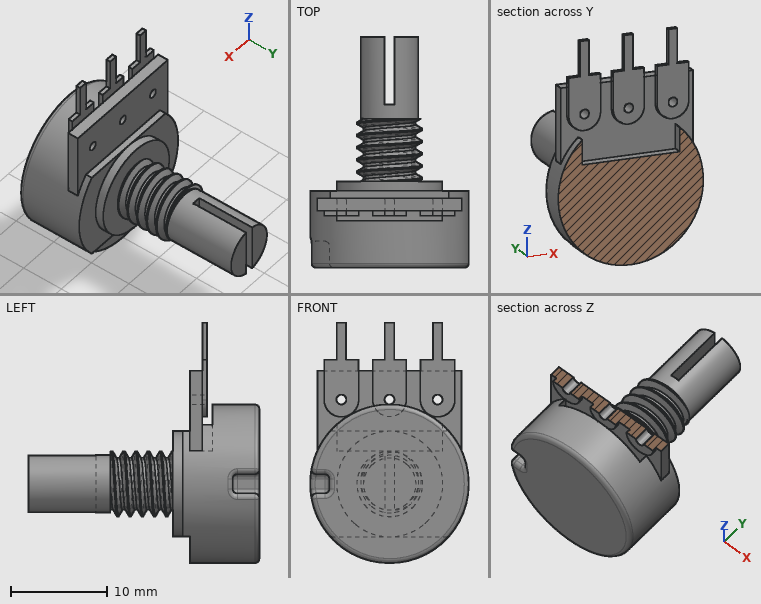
import cadquery as cq
import math


HOUSING_RADIUS = 8.25
HOUSING_LENGTH = 8.0
REAR_EDGE_RADIUS = 0.5

COLLAR_RADIUS = 5.5
COLLAR_THICKNESS = 1.0
COLLAR_FRONT = HOUSING_LENGTH + COLLAR_THICKNESS

THREAD_MAJOR_RADIUS = 3.4
THREAD_PITCH = 1.27
THREAD_LENGTH = 6.5
THREAD_END = COLLAR_FRONT + THREAD_LENGTH
THREAD_FLANK_SLOPE = math.tan(math.radians(30))
THREAD_CREST_WIDTH = THREAD_PITCH / 8
THREAD_BASE_WIDTH = 3 / 4 * THREAD_PITCH
THREAD_DEPTH = (THREAD_BASE_WIDTH - THREAD_CREST_WIDTH) / 2 / THREAD_FLANK_SLOPE
THREAD_ROOT_RADIUS = THREAD_MAJOR_RADIUS - THREAD_DEPTH
THREAD_OVERLAP = 0.05

SHAFT_RADIUS = 3.0
SHAFT_END = 24.0
SLOT_WIDTH = 1.0
SLOT_DEPTH = 7.0

BOARD_WIDTH = 15.0
BOARD_REAR = 5.93
BOARD_FRONT = 7.23
BOARD_TOP = 11.75
BOARD_BOTTOM = math.sqrt(HOUSING_RADIUS**2 - (BOARD_WIDTH / 2) ** 2)

TERMINAL_PITCH = 5.0
TERMINAL_THICKNESS = 0.5
TERMINAL_HOLE_Z = 8.75
TERMINAL_HOLE_DIAMETER = 1.0
OUTER_TAB_WIDTH = 3.6
CENTRE_TAB_WIDTH = 3.5
TAB_TOP = 12.9
PIN_WIDTH = 1.0
PIN_TOP = 16.75

WINDOW_REAR = 4.9
WINDOW_WIDTH = 11.0

DIMPLE_HALF_WIDTH = 1.0
DIMPLE_DEPTH_X = 2.0
DIMPLE_DEPTH_Y = 2.8
DIMPLE_RADIUS = 0.5


def cylinder(radius, start, end):
    """Cylinder on the shaft axis between two Y positions."""
    return cq.Workplane("XZ", origin=(0, start, 0)).circle(radius).extrude(start - end)


def block(x_range, y_range, z_range):
    """Box given by its lower and upper limit along each axis."""
    ranges = (x_range, y_range, z_range)
    size = [high - low for low, high in ranges]
    lower_corner = tuple(low for low, _ in ranges)
    return cq.Workplane("XY", origin=lower_corner).box(*size, centered=False)


def dimple_cutter():
    """Box reaching in from the housing corner, its inner edges rounded."""
    inner_x = DIMPLE_DEPTH_X - HOUSING_RADIUS
    reach = DIMPLE_DEPTH_Y
    cutter = block(
        (-HOUSING_RADIUS - reach, inner_x),
        (-reach, DIMPLE_DEPTH_Y),
        (-DIMPLE_HALF_WIDTH, DIMPLE_HALF_WIDTH),
    )
    return cutter.faces(">X or >Y").edges("not(<X or <Y)").fillet(DIMPLE_RADIUS)


def make_housing():
    """Cylinder with a rounded rear edge, a dimple, front flats and a terminal window."""
    housing = cylinder(HOUSING_RADIUS, 0, HOUSING_LENGTH)
    housing = housing.cut(dimple_cutter())
    rear_edges = housing.faces("<Y").edges()
    outer_wall = housing.faces(cq.selectors.AreaNthSelector(-1))
    dimple_edges = outer_wall.edges("not (<Y or >Y or >X)")
    housing = rear_edges.add(dimple_edges).fillet(REAR_EDGE_RADIUS)
    span = (-HOUSING_RADIUS, HOUSING_RADIUS)
    flat_depth = (BOARD_FRONT, HOUSING_LENGTH)
    housing = housing.cut(block(span, flat_depth, (COLLAR_RADIUS, HOUSING_RADIUS)))
    housing = housing.cut(block(span, flat_depth, (-HOUSING_RADIUS, -COLLAR_RADIUS)))
    window = block(
        (-WINDOW_WIDTH / 2, WINDOW_WIDTH / 2),
        (WINDOW_REAR, BOARD_FRONT),
        (BOARD_BOTTOM, HOUSING_RADIUS),
    )
    return housing.cut(window)


def make_thread():
    """Right-handed ridge, cut square at the collar and at the shaft shoulder."""
    turns = math.ceil(THREAD_LENGTH / THREAD_PITCH) + 2
    helix_start = COLLAR_FRONT - 3 / 4 * THREAD_PITCH
    base_radius = THREAD_ROOT_RADIUS - THREAD_OVERLAP
    base_half = THREAD_BASE_WIDTH / 2 + THREAD_OVERLAP * THREAD_FLANK_SLOPE
    crest_half = THREAD_CREST_WIDTH / 2
    helix = cq.Wire.makeHelix(THREAD_PITCH, turns * THREAD_PITCH, THREAD_ROOT_RADIUS)
    profile = cq.Workplane("XZ").polyline(
        [
            (base_radius, -base_half),
            (THREAD_MAJOR_RADIUS, -crest_half),
            (THREAD_MAJOR_RADIUS, crest_half),
            (base_radius, base_half),
        ]
    )
    ridge = profile.close().sweep(cq.Workplane(helix), isFrenet=True)
    ridge = ridge.rotate((0, 0, 0), (1, 0, 0), -90).translate((0, helix_start, 0))
    return ridge.intersect(cylinder(COLLAR_RADIUS, COLLAR_FRONT, THREAD_END))


def make_shaft():
    """Plain shaft with a screwdriver slot across its end."""
    shaft = cylinder(SHAFT_RADIUS, THREAD_END, SHAFT_END)
    slot = block(
        (-SLOT_WIDTH / 2, SLOT_WIDTH / 2),
        (SHAFT_END - SLOT_DEPTH, SHAFT_END),
        (-SHAFT_RADIUS, SHAFT_RADIUS),
    )
    return shaft.cut(slot)


def make_board():
    """Circuit board standing across the housing."""
    return block(
        (-BOARD_WIDTH / 2, BOARD_WIDTH / 2),
        (BOARD_REAR, BOARD_FRONT),
        (BOARD_BOTTOM, BOARD_TOP),
    )


def make_terminal(x, tab_width):
    """Tab with a round lower end and a narrow pin on top."""
    y_range = (BOARD_REAR - TERMINAL_THICKNESS, BOARD_REAR)
    half_width = tab_width / 2
    tab = block((x - half_width, x + half_width), y_range, (TERMINAL_HOLE_Z, TAB_TOP))
    round_end = (
        cq.Workplane("XZ", origin=(x, BOARD_REAR, TERMINAL_HOLE_Z))
        .circle(half_width)
        .extrude(TERMINAL_THICKNESS)
    )
    pin = block((x - PIN_WIDTH / 2, x + PIN_WIDTH / 2), y_range, (TAB_TOP, PIN_TOP))
    return tab.union(round_end).union(pin)


def make_terminal_hole(x):
    """Cutter for the hole through a tab and the board behind it."""
    return (
        cq.Workplane("XZ", origin=(x, BOARD_FRONT, TERMINAL_HOLE_Z))
        .circle(TERMINAL_HOLE_DIAMETER / 2)
        .extrude(BOARD_FRONT - BOARD_REAR + TERMINAL_THICKNESS)
    )


terminals = (
    (-TERMINAL_PITCH, OUTER_TAB_WIDTH),
    (0, CENTRE_TAB_WIDTH),
    (TERMINAL_PITCH, OUTER_TAB_WIDTH),
)

body = make_housing().union(make_board())
for terminal_x, terminal_width in terminals:
    body = body.union(make_terminal(terminal_x, terminal_width))
    body = body.cut(make_terminal_hole(terminal_x))

bushing = cylinder(THREAD_ROOT_RADIUS, COLLAR_FRONT, THREAD_END).union(make_thread())
result = (
    body.union(cylinder(COLLAR_RADIUS, HOUSING_LENGTH, COLLAR_FRONT))
    .union(bushing)
    .union(make_shaft())
)